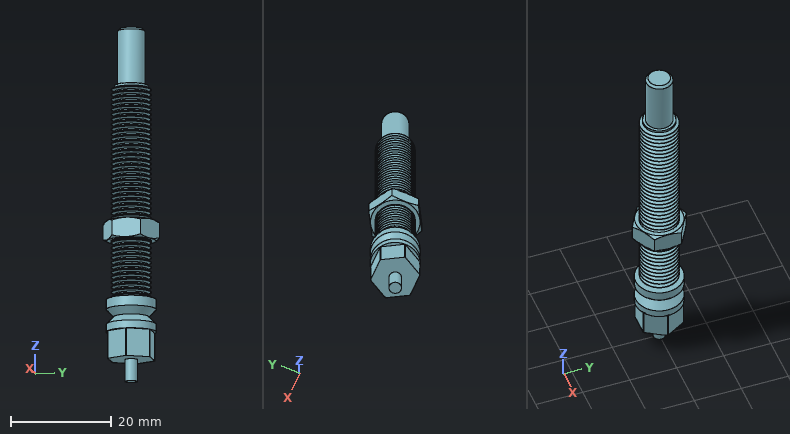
import cadquery as cq
import math


total_length = 71.5
stub_length = 4.4
hex_length = 5.6
lower_collar_height = 1.6
upper_collar_height = 2.0
thread_length = 43.4

stub_diameter = 2.5
collar_diameter = 10.0
neck_diameter = 7.0
rod_diameter = 5.5
rod_chamfer = 0.5

hex_across_flats = 8.65
hex_corner_diameter = 9.9

thread_diameter = 8.0
thread_root_diameter = 6.7
thread_pitch = 1.0
crest_width = thread_pitch / 8
root_width = thread_pitch / 4

nut_across_flats = 10.0
nut_height = 4.0
nut_bottom = 28.45
nut_face_diameter = 9.9
nut_chamfer_angle = 30.0

groove_depth = (collar_diameter - neck_diameter) / 2
collar_bottom = stub_length + hex_length
neck_level = collar_bottom + lower_collar_height + groove_depth
collar_top = neck_level + groove_depth + upper_collar_height
thread_top = collar_top + thread_length


def corner_diameter(across_flats):
    return across_flats / math.cos(math.radians(30))


def cylinder(diameter, bottom, top):
    return cq.Workplane("XY").workplane(offset=bottom).circle(diameter / 2).extrude(top - bottom)


def hexagon(across_flats, bottom, height, turn):
    """Hexagonal prism on the Z axis; without a turn its corners lie on the X axis."""
    prism = cq.Workplane("XY").polygon(6, corner_diameter(across_flats)).extrude(height)
    return prism.rotate((0, 0, 0), (0, 0, 1), turn).translate((0, 0, bottom))


def revolve_outline(outline):
    """Solid of revolution about Z from (radius, level) corners."""
    return cq.Workplane("XZ").polyline(outline).close().revolve(360, (0, 0, 0), (0, 1, 0))


def make_threaded_barrel():
    """Barrel with a V ridge in every pitch; the last pitch ends in a plain root length."""
    root_radius = thread_root_diameter / 2
    crest_radius = thread_diameter / 2
    flank_height = (thread_pitch - crest_width - root_width) / 2
    ridge_count = math.floor(thread_length / thread_pitch)
    outline = [(0, collar_top), (root_radius, collar_top)]
    for i in range(ridge_count):
        ridge_bottom = collar_top + i * thread_pitch + root_width / 2
        crest_bottom = ridge_bottom + flank_height
        crest_top = crest_bottom + crest_width
        outline.append((root_radius, ridge_bottom))
        outline.append((crest_radius, crest_bottom))
        outline.append((crest_radius, crest_top))
        outline.append((root_radius, crest_top + flank_height))
    outline.append((root_radius, thread_top))
    outline.append((0, thread_top))
    return revolve_outline(outline)


def make_collar():
    """Round collar with a V groove around it."""
    collar_radius = collar_diameter / 2
    outline = [
        (0, collar_bottom),
        (collar_radius, collar_bottom),
        (collar_radius, neck_level - groove_depth),
        (neck_diameter / 2, neck_level),
        (collar_radius, neck_level + groove_depth),
        (collar_radius, collar_top),
        (0, collar_top),
    ]
    return revolve_outline(outline)


def make_wrench_hexagon():
    """Hexagon with corners on the X axis, turned down to a round corner diameter."""
    prism = hexagon(hex_across_flats, stub_length, hex_length, 0)
    return prism.intersect(cylinder(hex_corner_diameter, stub_length, collar_bottom))


def make_sensor():
    stub = cylinder(stub_diameter, 0, stub_length)
    rod = cylinder(rod_diameter, thread_top, total_length).faces(">Z").chamfer(rod_chamfer)
    lower_end = stub.union(make_wrench_hexagon()).union(make_collar())
    return lower_end.union(make_threaded_barrel()).union(rod)


def make_nut():
    """Hexagon nut with flats across X, chamfered corners and a bore on the thread crest."""
    nut_top = nut_bottom + nut_height
    face_radius = nut_face_diameter / 2
    corner_radius = corner_diameter(nut_across_flats) / 2
    chamfer_height = (corner_radius - face_radius) * math.tan(math.radians(nut_chamfer_angle))
    outline = [
        (0, nut_bottom),
        (face_radius, nut_bottom),
        (corner_radius, nut_bottom + chamfer_height),
        (corner_radius, nut_top - chamfer_height),
        (face_radius, nut_top),
        (0, nut_top),
    ]
    blank = hexagon(nut_across_flats, nut_bottom, nut_height, 30).intersect(revolve_outline(outline))
    return blank.cut(cylinder(thread_diameter, nut_bottom, nut_top))


sensor = make_sensor()
nut = make_nut()

result = cq.Compound.makeCompound([sensor.solids().val(), nut.solids().val()])